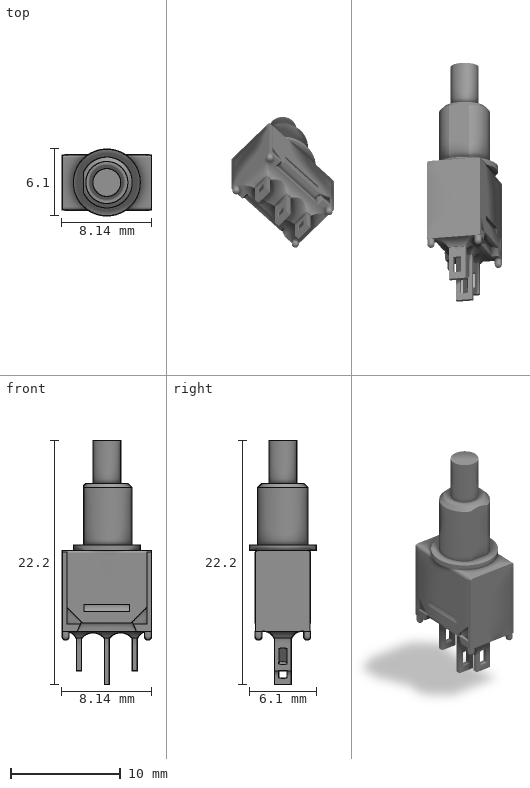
import cadquery as cq
import math

TOTAL_HEIGHT = 22.23

BODY_WIDTH = 8.14
BODY_DEPTH = 5.07
BODY_HEIGHT = 7.38
TOP_EDGE_RADIUS = 0.3

COVER_WIDTH = 7.3
COVER_BOTTOM_WIDTH = 4.4
COVER_BOTTOM_Z = 0.75
FRAME_SETBACK = 0.05
WINDOW_BOTTOM_Z = 0.7
WINDOW_DEPTH = 0.31
NOTCH_BOTTOM_WIDTH = 5.38
NOTCH_TOP_WIDTH = 4.62
NOTCH_DEPTH = 0.67

SLOT_WIDTH = 4.13
SLOT_HEIGHT = 0.62
SLOT_BOTTOM_Z = 1.82
SLOT_DEPTH = 0.27

FLANGE_DIAMETER = 6.1
FLANGE_THICKNESS = 0.5
BUSHING_DIAMETER = 4.62
BUSHING_LENGTH = 5.6
BUSHING_CHAMFER = 0.4
BUSHING_FLAT_OFFSET = 2.11
PLUNGER_DIAMETER = 2.53

TERMINAL_PITCH = 2.53
TERMINAL_THICKNESS = 0.47
TERMINAL_WIDTH = 1.53
OUTER_TERMINAL_LENGTH = 3.58
CENTER_TERMINAL_LENGTH = 4.85
EYE_WIDTH = 0.73
EYE_HEIGHT = 1.47
EYE_BULGE = 0.05
EYE_MARGIN = 0.6

SEAL_HEIGHT = 0.58
SEAL_REACH = 0.9
SEAL_RIM = 0.07
SEAL_BRIDGE = 0.13

PEG_DIAMETER = 0.65
PEG_STRAIGHT_LENGTH = 0.47

OVERLAP = 0.22

FACE_Y = -BODY_DEPTH / 2
FLANGE_TOP_Z = BODY_HEIGHT + FLANGE_THICKNESS
BUSHING_TOP_Z = FLANGE_TOP_Z + BUSHING_LENGTH
PLUNGER_TOP_Z = TOTAL_HEIGHT - CENTER_TERMINAL_LENGTH
TERMINALS = (
    (-TERMINAL_PITCH, OUTER_TERMINAL_LENGTH),
    (0, CENTER_TERMINAL_LENGTH),
    (TERMINAL_PITCH, OUTER_TERMINAL_LENGTH),
)


def front_cut(points, depth):
    """Prism with an X-Z outline, sunk to the given depth behind the front face."""
    return cq.Workplane("XZ", origin=(0, FACE_Y + depth, 0)).polyline(points).close().extrude(depth)


def cover_outline():
    """Cover plate outline with 45 degree lower corners."""
    half_top = COVER_WIDTH / 2
    half_bottom = COVER_BOTTOM_WIDTH / 2
    shoulder_z = COVER_BOTTOM_Z + half_top - half_bottom
    return [
        (-half_top, BODY_HEIGHT),
        (-half_top, shoulder_z),
        (-half_bottom, COVER_BOTTOM_Z),
        (half_bottom, COVER_BOTTOM_Z),
        (half_top, shoulder_z),
        (half_top, BODY_HEIGHT),
    ]


def rectangle(width, bottom, top):
    return [(-width / 2, bottom), (width / 2, bottom), (width / 2, top), (-width / 2, top)]


def face_relief():
    """Material removed from the front face: everything that lies behind the cover plate."""
    notch_top_z = COVER_BOTTOM_Z + (NOTCH_TOP_WIDTH - COVER_BOTTOM_WIDTH) / 2
    notch_outline = [
        (-NOTCH_BOTTOM_WIDTH / 2, 0),
        (NOTCH_BOTTOM_WIDTH / 2, 0),
        (NOTCH_TOP_WIDTH / 2, notch_top_z),
        (-NOTCH_TOP_WIDTH / 2, notch_top_z),
    ]
    frame = front_cut(rectangle(BODY_WIDTH, 0, BODY_HEIGHT), FRAME_SETBACK)
    window = front_cut(rectangle(COVER_WIDTH, WINDOW_BOTTOM_Z, BODY_HEIGHT), WINDOW_DEPTH)
    notch = front_cut(notch_outline, NOTCH_DEPTH)
    cover = front_cut(cover_outline(), NOTCH_DEPTH)
    return frame.union(window).union(notch).cut(cover)


def cover_slot():
    """Slot whose floor slopes from full depth at the top out to the face at the bottom."""
    slot_top_z = SLOT_BOTTOM_Z + SLOT_HEIGHT
    return (
        cq.Workplane("YZ", origin=(-SLOT_WIDTH / 2, 0, 0))
        .polyline([(FACE_Y, SLOT_BOTTOM_Z), (FACE_Y, slot_top_z), (FACE_Y + SLOT_DEPTH, slot_top_z)])
        .close()
        .extrude(SLOT_WIDTH)
    )


def housing():
    body = (
        cq.Workplane("XY")
        .box(BODY_WIDTH, BODY_DEPTH, BODY_HEIGHT, centered=(True, True, False))
        .edges("|X and >Z")
        .fillet(TOP_EDGE_RADIUS)
    )
    for cutter in (face_relief(), cover_slot()):
        body = body.cut(cutter).cut(cutter.mirror("XZ"))
    return body


def cylinder(diameter, bottom, top):
    return cq.Workplane("XY", origin=(0, 0, bottom)).circle(diameter / 2).extrude(top - bottom)


def actuator():
    """Flange, chamfered bushing with one flat on its -X side, and plunger."""
    flange = cylinder(FLANGE_DIAMETER, BODY_HEIGHT, FLANGE_TOP_Z)
    bushing = cylinder(BUSHING_DIAMETER, BODY_HEIGHT, BUSHING_TOP_Z).faces(">Z").chamfer(BUSHING_CHAMFER)
    flat_cut = cq.Workplane("XY", origin=(-BUSHING_FLAT_OFFSET - BUSHING_DIAMETER / 2, 0, FLANGE_TOP_Z)).box(
        BUSHING_DIAMETER, BUSHING_DIAMETER, BUSHING_LENGTH, centered=(True, True, False)
    )
    plunger = cylinder(PLUNGER_DIAMETER, FLANGE_TOP_Z, PLUNGER_TOP_Z)
    return flange.union(bushing.cut(flat_cut)).union(plunger)


def terminal(x, length):
    """Flat terminal along Y with an eye through its thickness near the lower end."""
    left = x - TERMINAL_THICKNESS / 2
    blade = cq.Workplane("XY", origin=(x, 0, -length)).box(
        TERMINAL_THICKNESS, TERMINAL_WIDTH, length + OVERLAP, centered=(True, True, False)
    )
    bottom = EYE_MARGIN - length
    top = bottom + EYE_HEIGHT
    half = EYE_WIDTH / 2
    eye = (
        cq.Workplane("YZ", origin=(left, 0, 0))
        .moveTo(-half, bottom + EYE_BULGE)
        .threePointArc((0, bottom), (half, bottom + EYE_BULGE))
        .lineTo(half, top - EYE_BULGE)
        .threePointArc((0, top), (-half, top - EYE_BULGE))
        .close()
        .extrude(TERMINAL_THICKNESS)
    )
    return blade.cut(eye)


def arc_height(radius, offset):
    """Height on a level-starting arc, below zero, at a horizontal offset from its start."""
    return math.sqrt(radius**2 - offset**2) - radius


def arc_radius(reach, drop):
    """Radius of an arc that starts level and falls by drop over a horizontal reach."""
    return (reach**2 + drop**2) / (2 * drop)


def seal():
    """Concave sealing fillets: the common volume of a lengthwise and a crosswise profile."""
    half_rim_x = TERMINAL_THICKNESS / 2 + SEAL_RIM
    half_rim_y = TERMINAL_WIDTH / 2 + SEAL_RIM
    edge_radius = arc_radius(SEAL_REACH, SEAL_HEIGHT)
    edge_mid = SEAL_REACH / 2
    edge_mid_z = arc_height(edge_radius, edge_mid)
    half_length = TERMINAL_PITCH + half_rim_x + SEAL_REACH
    half_depth = half_rim_y + SEAL_REACH

    lengthwise = (
        cq.Workplane("XZ", origin=(0, half_depth, 0))
        .moveTo(-half_length, OVERLAP)
        .lineTo(-half_length, 0)
        .threePointArc((edge_mid - half_length, edge_mid_z), (SEAL_REACH - half_length, -SEAL_HEIGHT))
    )
    for x in (-TERMINAL_PITCH, 0):
        lengthwise = lengthwise.lineTo(x + half_rim_x, -SEAL_HEIGHT).threePointArc(
            (x + TERMINAL_PITCH / 2, -SEAL_BRIDGE), (x + TERMINAL_PITCH - half_rim_x, -SEAL_HEIGHT)
        )
    lengthwise = (
        lengthwise.lineTo(half_length - SEAL_REACH, -SEAL_HEIGHT)
        .threePointArc((half_length - edge_mid, edge_mid_z), (half_length, 0))
        .lineTo(half_length, OVERLAP)
        .close()
        .extrude(2 * half_depth)
    )
    crosswise = (
        cq.Workplane("YZ", origin=(-half_length, 0, 0))
        .moveTo(-half_depth, OVERLAP)
        .lineTo(-half_depth, 0)
        .threePointArc((edge_mid - half_depth, edge_mid_z), (-half_rim_y, -SEAL_HEIGHT))
        .lineTo(half_rim_y, -SEAL_HEIGHT)
        .threePointArc((half_depth - edge_mid, edge_mid_z), (half_depth, 0))
        .lineTo(half_depth, OVERLAP)
        .close()
        .extrude(2 * half_length)
    )
    return lengthwise.intersect(crosswise)


def peg(x, y):
    """Locating peg with a hemispherical end."""
    radius = PEG_DIAMETER / 2
    shank = cylinder(PEG_DIAMETER, -PEG_STRAIGHT_LENGTH, 0)
    tip = cq.Workplane("XY", origin=(0, 0, -PEG_STRAIGHT_LENGTH)).sphere(radius)
    return shank.union(tip).translate((x, y, 0))


result = housing().union(actuator()).union(seal())
for terminal_x, terminal_length in TERMINALS:
    result = result.union(terminal(terminal_x, terminal_length))

peg_x = (BODY_WIDTH - PEG_DIAMETER) / 2
peg_y = (BODY_DEPTH - PEG_DIAMETER) / 2
for side_x in (-1, 1):
    for side_y in (-1, 1):
        result = result.union(peg(side_x * peg_x, side_y * peg_y))